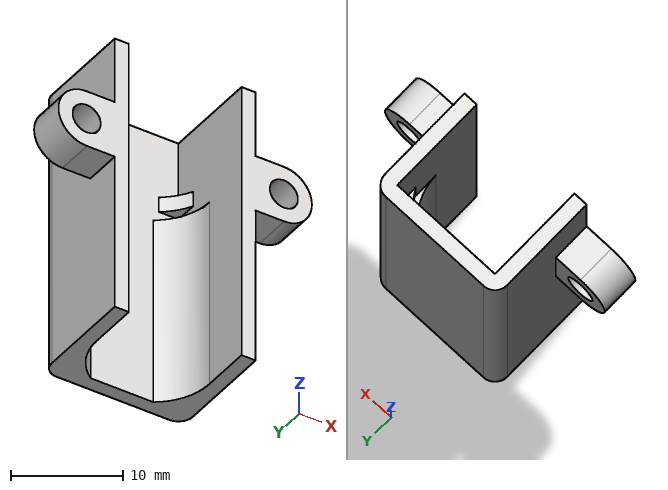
import cadquery as cq

width = 15.0
depth = 11.8
height = 29.5
wall = 1.5
corner_radius = wall
inner_half_width = width / 2 - wall
inner_depth = depth - wall

seat_radius = inner_half_width
seat_center_y = 5.3
cradle_height = 20.0

tab_radius = 6.75
tab_center_y = 4.8
tab_bottom = 21.15
tab_height = 1.6

lug_radius = 3.0
lug_hole_diameter = 3.0
lug_thickness = 4.0
lug_center_x = width / 2 + lug_radius
lug_center_z = 19.5


def box_between(x_min, x_max, y_min, y_max, z_min, z_max):
    """Box given by its limits along each axis."""
    size = (x_max - x_min, y_max - y_min, z_max - z_min)
    return cq.Workplane("XY").box(*size, centered=False).translate((x_min, y_min, z_min))


def make_channel():
    """U-shaped channel with rounded outer back corners."""
    outer = box_between(-width / 2, width / 2, 0, depth, 0, height)
    outer = outer.edges("|Z and >Y").fillet(corner_radius)
    cavity = box_between(-inner_half_width, inner_half_width, 0, inner_depth, 0, height)
    return outer.cut(cavity)


def make_corner_fill(side, radius, center_y, bottom, fill_height):
    """Fill of one inner back corner, hollowed by a vertical cylinder; side is +1 or -1."""
    x_min, x_max = sorted((0, side * inner_half_width))
    top = bottom + fill_height
    block = box_between(x_min, x_max, center_y, inner_depth, bottom, top)
    bore = (
        cq.Workplane("XY", origin=(0, center_y, bottom))
        .circle(radius)
        .extrude(fill_height)
    )
    return block.cut(bore)


def make_lug(side):
    """Round-ended lug on one side wall with a through hole along Y; side is +1 or -1."""
    x_min, x_max = sorted((side * inner_half_width, side * lug_center_x))
    z_min = lug_center_z - lug_radius
    z_max = lug_center_z + lug_radius
    arm = box_between(x_min, x_max, 0, lug_thickness, z_min, z_max)
    center = cq.Workplane("XZ", origin=(side * lug_center_x, 0, lug_center_z))
    round_end = center.circle(lug_radius).extrude(-lug_thickness)
    hole = center.circle(lug_hole_diameter / 2).extrude(-lug_thickness)
    return arm.union(round_end).cut(hole)


result = make_channel()
for side in (-1, 1):
    result = result.union(make_corner_fill(side, seat_radius, seat_center_y, 0, cradle_height))
    result = result.union(make_lug(side))
result = result.union(make_corner_fill(1, tab_radius, tab_center_y, tab_bottom, tab_height))